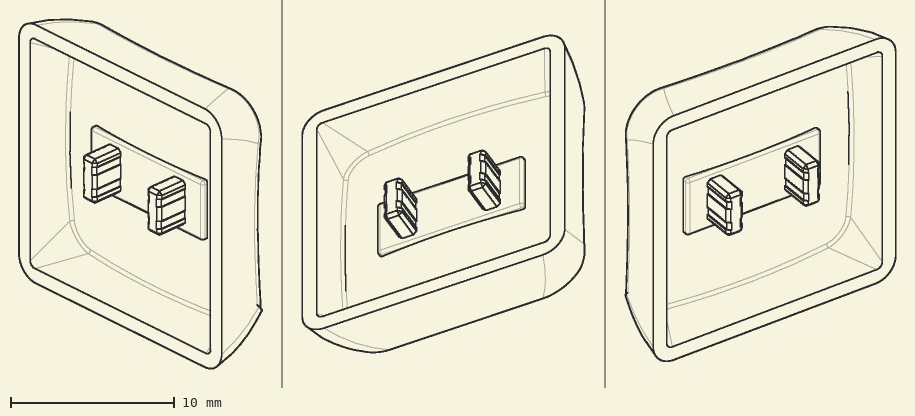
import cadquery as cq
import math


RIM_SIZE = 17.9
HEIGHT = 4.5
SIDE_BULGE_X = 15.0
SIDE_BULGE_Z = 11.3
RIM_CORNER = 1.5
CORNER_GROWTH = 0.35
LOFT_TOP = HEIGHT + 0.6
LOFT_STEPS = 3
LOFT_HEIGHTS = [LOFT_TOP * step / LOFT_STEPS for step in range(LOFT_STEPS + 1)]

DISH_BOTTOM = 3.56
DISH_RADIUS_X = 51.0
DISH_RADIUS_Z = 45.0
DISH_REACH = 10.0
DISH_CUTTER_TOP = HEIGHT + 3
LIP_Z = -8.05
LIP_SAG = 0.002
EDGE_ROUND = 1.3
ROUND_END_Z = -2.1

WALL = 1.0
CAVITY_CORNER = 0.4
CAVITY_CORNER_GROWTH = 0.4
CAVITY_DRAFT_X = 0.09
CAVITY_DRAFT_Z = 0.16
FLOOR_THICKNESS = 1.23
FLOOR_HEIGHT = DISH_BOTTOM - FLOOR_THICKNESS
FLOOR_RADIUS = 50.0
FLOOR_ROUND = 0.2

PAD_SIZE = (9.93, 4.1)
PAD_FACE = 2.2
PAD_ROUND = 0.2
STEM_WIDTH = 1.2
STEM_LENGTH = 3.05
STEM_SPACING = 5.7
STEM_TIP = 0.0
STEM_CHAMFER = 0.22
GROOVE_WIDTH = 0.53
GROOVE_DEPTH = 0.06
GROOVE_OFFSET = 0.76


def rim_plane(height):
    """Plane parallel to the rim, with local y along +Z and its normal along -Y."""
    return cq.Workplane("XZ", origin=(0, height, 0))


def bulge(radius, distance):
    """Departure of an arc from its tangent, at a distance from the point of contact."""
    return radius - math.sqrt(radius**2 - distance**2)


def rounded_outline(size_x, size_z, corner, height):
    outline = cq.Sketch().rect(size_x, size_z).vertices().fillet(corner)
    return outline.moved(cq.Location(cq.Vector(0, 0, -height)))


def loft_outlines(outline_at):
    """Smooth loft through the outlines that a function gives for each height."""
    outlines = [outline_at(height) for height in LOFT_HEIGHTS]
    return rim_plane(0).placeSketch(*outlines).loft()


def upper_edge(height):
    """Selector for the edge that meets the upper wall around a height."""
    outer_z = RIM_SIZE / 2
    inner_z = outer_z - 2 * WALL
    return cq.selectors.BoxSelector((-WALL, height - WALL, inner_z), (WALL, height + WALL, outer_z))


def shell_outline(height):
    return rounded_outline(
        RIM_SIZE - 2 * bulge(SIDE_BULGE_X, height),
        RIM_SIZE - 2 * bulge(SIDE_BULGE_Z, height),
        RIM_CORNER + CORNER_GROWTH * height,
        height,
    )


def dish_section(z, middle, sag):
    """Cross-section of the dish cutter; its underside is an arc lowest in the middle."""
    end = middle + sag
    return (
        cq.Workplane("XY", origin=(0, 0, z))
        .moveTo(-DISH_REACH, end)
        .threePointArc((0, middle), (DISH_REACH, end))
        .lineTo(DISH_REACH, DISH_CUTTER_TOP)
        .lineTo(-DISH_REACH, DISH_CUTTER_TOP)
        .close()
        .val()
    )


def dish_cutter():
    """Spoon-like block that flattens out toward the lower lip."""
    sections = [dish_section(LIP_Z, HEIGHT, LIP_SAG)]
    for z in (LIP_Z / 2, 0, DISH_REACH / 2, DISH_REACH):
        middle = DISH_BOTTOM + bulge(DISH_RADIUS_Z, z)
        sections.append(dish_section(z, middle, bulge(DISH_RADIUS_X, DISH_REACH)))
    return cq.Workplane(cq.Solid.makeLoft(sections))


def lower_wedge():
    """Block under the 45 degree plane where the edge rounding stops."""
    return (
        cq.Workplane("YZ")
        .moveTo(0, ROUND_END_Z)
        .lineTo(DISH_CUTTER_TOP, ROUND_END_Z - DISH_CUTTER_TOP)
        .lineTo(DISH_CUTTER_TOP, -RIM_SIZE)
        .lineTo(0, -RIM_SIZE)
        .close()
        .extrude(RIM_SIZE, both=True)
    )


def shell():
    """Solid keycap body, with a sharp lower lip and rounded dish edges elsewhere."""
    sharp = loft_outlines(shell_outline).cut(dish_cutter())
    rounded = sharp.edges(upper_edge(HEIGHT)).fillet(EDGE_ROUND)
    return rounded.cut(lower_wedge()).union(sharp.intersect(lower_wedge()))


def cavity_outline(height):
    return rounded_outline(
        RIM_SIZE - 2 * (WALL + CAVITY_DRAFT_X * height),
        RIM_SIZE - 2 * (WALL + CAVITY_DRAFT_Z * height),
        CAVITY_CORNER + CAVITY_CORNER_GROWTH * height,
        height,
    )


def cavity():
    floor_center = (0, FLOOR_HEIGHT + FLOOR_RADIUS, 0)
    floor_ball = cq.Workplane("XY", origin=floor_center).sphere(FLOOR_RADIUS)
    body = loft_outlines(cavity_outline).cut(floor_ball)
    floor_edge_height = FLOOR_HEIGHT + bulge(FLOOR_RADIUS, RIM_SIZE / 2 - WALL)
    return body.edges(upper_edge(floor_edge_height)).fillet(FLOOR_ROUND)


def pad():
    root = DISH_BOTTOM - FLOOR_THICKNESS / 2
    block = rim_plane(root).rect(*PAD_SIZE).extrude(root - PAD_FACE)
    return block.edges("not >Y").fillet(PAD_ROUND)


def grooved_band(x, z):
    """Stretch of a stem between two facing side grooves, with the same chamfered tip."""
    half = STEM_WIDTH / 2 - GROOVE_DEPTH
    return (
        cq.Workplane("XY", origin=(x, 0, z))
        .moveTo(-half, PAD_FACE)
        .lineTo(half, PAD_FACE)
        .lineTo(half, STEM_TIP + STEM_CHAMFER)
        .lineTo(half - STEM_CHAMFER, STEM_TIP)
        .lineTo(STEM_CHAMFER - half, STEM_TIP)
        .lineTo(-half, STEM_TIP + STEM_CHAMFER)
        .close()
        .extrude(GROOVE_WIDTH / 2, both=True)
    )


def stem(x):
    reach = PAD_FACE - STEM_TIP
    base = rim_plane(PAD_FACE)
    body = base.center(x, 0).rect(STEM_WIDTH, STEM_LENGTH).extrude(reach)
    body = body.edges("not >Y").chamfer(STEM_CHAMFER)
    for z in (-GROOVE_OFFSET, GROOVE_OFFSET):
        gap = base.center(x, z).rect(STEM_WIDTH, GROOVE_WIDTH).extrude(reach)
        body = body.cut(gap).union(grooved_band(x, z))
    return body


result = shell().cut(cavity()).union(pad())
for stem_x in (-STEM_SPACING / 2, STEM_SPACING / 2):
    result = result.union(stem(stem_x))